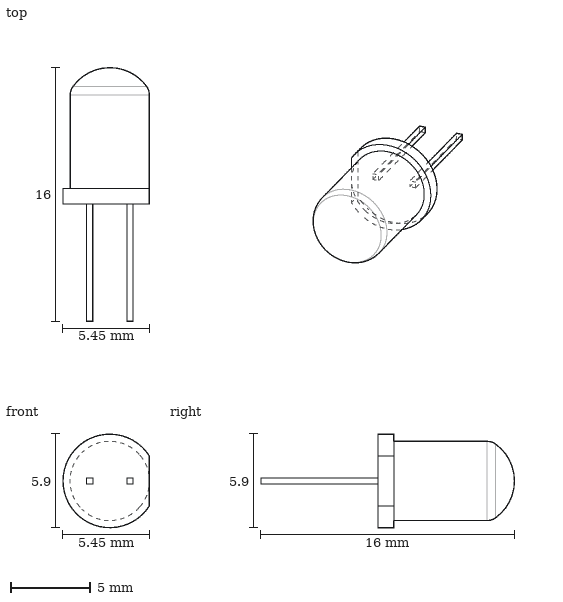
import cadquery as cq
import math

flange_diameter = 5.9
flange_thickness = 1.0

lens_diameter = 5.0
lens_radius = lens_diameter / 2
lens_height = 8.6
cap_height = 1.72
shoulder_radius = 0.9
flat_offset = lens_radius

lead_length = 7.37
lead_width = 0.4
lead_pitch = 2.54

cylinder_end = lens_height - cap_height


def make_flange():
    """Disc with one flat cut on the +X side."""
    disc = cq.Workplane("XZ").circle(flange_diameter / 2).extrude(-flange_thickness)
    keep_width = flange_diameter / 2 + flat_offset
    keep_block = cq.Workplane("XY").box(
        keep_width, flange_thickness, flange_diameter, centered=(False, False, True)
    ).translate((-flange_diameter / 2, 0, 0))
    return disc.intersect(keep_block)


def make_lens():
    """Half profile in the XY plane, revolved about the Y axis."""
    shoulder_x = lens_radius - shoulder_radius
    cap_radius = (shoulder_x**2 + cap_height**2 - shoulder_radius**2) / (
        2 * (cap_height - shoulder_radius)
    )
    cap_centre_y = lens_height - cap_radius
    joint_angle = math.atan2(cylinder_end - cap_centre_y, shoulder_x)

    def shoulder_point(angle):
        return (
            shoulder_x + shoulder_radius * math.cos(angle),
            cylinder_end + shoulder_radius * math.sin(angle),
        )

    def cap_point(angle):
        return (cap_radius * math.cos(angle), cap_centre_y + cap_radius * math.sin(angle))

    mid_cap_angle = (joint_angle + math.pi / 2) / 2
    profile = (
        cq.Workplane("XY")
        .moveTo(0, 0)
        .lineTo(lens_radius, 0)
        .lineTo(lens_radius, cylinder_end)
        .threePointArc(shoulder_point(joint_angle / 2), shoulder_point(joint_angle))
        .threePointArc(cap_point(mid_cap_angle), (0, lens_height))
        .close()
    )
    return profile.revolve(360, (0, 0, 0), (0, 1, 0))


def make_leads():
    """Two square pins, one on each side of the lens axis."""
    return (
        cq.Workplane("XZ")
        .pushPoints([(-lead_pitch / 2, 0), (lead_pitch / 2, 0)])
        .rect(lead_width, lead_width)
        .extrude(lead_length)
    )


result = make_flange().union(make_lens()).union(make_leads())